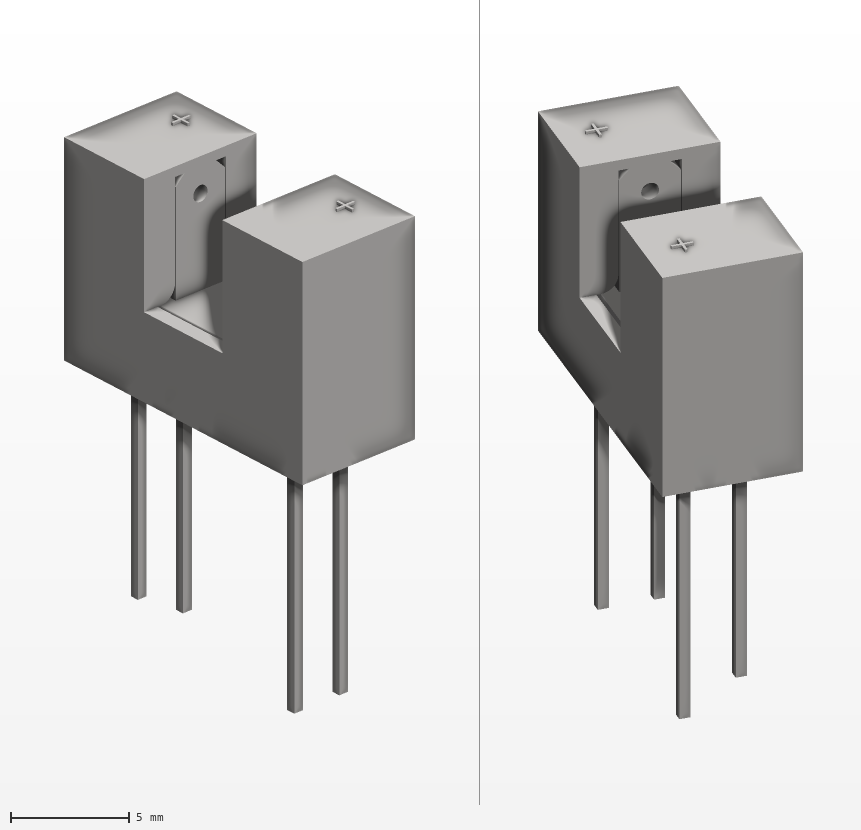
import cadquery as cq

housing_width = 15.24
housing_depth = 6.35
housing_height = 10.65

slot_width = 5.0
slot_height = 6.35
slot_floor_z = housing_height - slot_height

base_depth = 4.84
base_recess = 0.06
base_top_z = slot_floor_z - base_recess
base_edge_chamfer = 0.22

end_wall = 1.3
chamber_half_width = housing_width / 2 - end_wall
tower_depth = 2.86
tower_roof = 0.5
tower_top_z = housing_height - tower_roof
flare_radius = 0.8

package_front_x = slot_width / 2
package_side_clearance = 0.04
package_depth = tower_depth - 2 * package_side_clearance
package_length = chamber_half_width - package_front_x
package_height = tower_top_z - base_top_z
package_chamfer = 0.5
aperture_diameter = 0.8
aperture_depth = 1.0
aperture_z = housing_height - 1.78

lead_half_pitch_x = 5.0
lead_half_pitch_y = 1.27
lead_size_x = 0.45
lead_size_y = 0.5
lead_length = 12.4
short_lead_trim = 1.52

mark_height = 0.14
mark_span = 1.0
mark_line = 0.12
mark_y = 1.46
emitter_mark_x = -5.4
sensor_mark_x = 5.1


def upright_box(size_x, size_y, height, x=0, y=0, z=0):
    """Box centred on (x, y) whose underside is at z."""
    box = cq.Workplane("XY").box(size_x, size_y, height, centered=(True, True, False))
    return box.translate((x, y, z))


def chamber():
    """Base chamber with the narrower, flared tower chamber above it."""
    half_tower = tower_depth / 2
    half_flare = half_tower + flare_radius
    flare_top_z = slot_floor_z + flare_radius
    tower = (
        cq.Workplane("YZ")
        .moveTo(-half_flare, slot_floor_z)
        .lineTo(half_flare, slot_floor_z)
        .radiusArc((half_tower, flare_top_z), flare_radius)
        .lineTo(half_tower, tower_top_z)
        .lineTo(-half_tower, tower_top_z)
        .lineTo(-half_tower, flare_top_z)
        .radiusArc((-half_flare, slot_floor_z), flare_radius)
        .close()
        .extrude(chamber_half_width, both=True)
    )
    base = upright_box(2 * chamber_half_width, base_depth, slot_floor_z)
    return base.union(tower)


def polarity_mark(x):
    mark_z = housing_height
    long_bar = upright_box(mark_span, mark_line, mark_height, x, mark_y, mark_z)
    cross_bar = upright_box(mark_line, mark_span, mark_height, x, mark_y, mark_z)
    return long_bar.union(cross_bar)


def make_housing():
    body = upright_box(housing_width, housing_depth, housing_height)
    slot = upright_box(slot_width, housing_depth, slot_height, z=slot_floor_z)
    body = body.cut(slot).cut(chamber())
    for mark_x in (emitter_mark_x, sensor_mark_x):
        body = body.union(polarity_mark(mark_x))
    return body


def lead(x, y, trim):
    """Lead reaching from the package underside to its tip, shortened by trim."""
    tip_z = trim - lead_length
    return upright_box(lead_size_x, lead_size_y, base_top_z - tip_z, x, y, tip_z)


def make_package(side, front_lead_trim):
    """Package in the arm on the given side (-1 or 1), with its two leads."""
    centre_x = side * (package_front_x + package_length / 2)
    body = upright_box(package_length, package_depth, package_height, centre_x, 0, base_top_z)
    body = body.faces(">Z").edges("|X").chamfer(package_chamfer)
    aperture = (
        cq.Workplane("YZ", origin=(side * package_front_x, 0, aperture_z))
        .circle(aperture_diameter / 2)
        .extrude(side * aperture_depth)
    )
    body = body.cut(aperture)
    lead_x = side * lead_half_pitch_x
    front_lead = lead(lead_x, -lead_half_pitch_y, front_lead_trim)
    rear_lead = lead(lead_x, lead_half_pitch_y, 0)
    return body.union(front_lead).union(rear_lead)


def make_base_filling(packages):
    """Filling of the base chamber, chamfered along its top edges and pierced by the leads."""
    body = upright_box(2 * chamber_half_width, base_depth, base_top_z)
    body = body.faces(">Z").edges("|X").chamfer(base_edge_chamfer)
    for package in packages:
        body = body.cut(package)
    return body


housing = make_housing()
emitter = make_package(-1, short_lead_trim)
sensor = make_package(1, 0)
base_filling = make_base_filling([emitter, sensor])

result = cq.Compound.makeCompound([
    housing.val(),
    emitter.val(),
    sensor.val(),
    base_filling.val(),
])